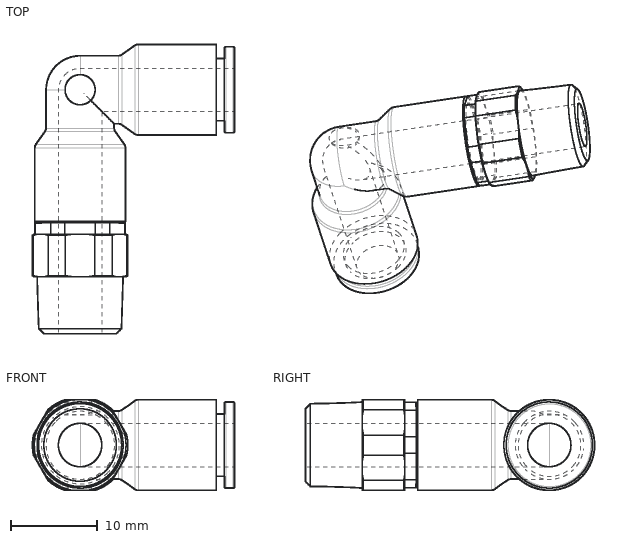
import cadquery as cq
import math


overall_length = 33.4

neck_radius = 3.95
body_radius = 5.25
shoulder_start = 4.65
shoulder_end = 6.48
shoulder_blend = 0.67
bore_radius = 2.5

tube_body_end = 15.73
collet_neck_radius = 3.6
collet_flange_start = 16.63
collet_flange_radius = 4.98
collet_rounding = 0.2
tube_arm_length = 17.85

threaded_body_end = 15.2
swivel_gap = 0.17
swivel_gap_radius = 4.48
small_hex_start = threaded_body_end + swivel_gap
large_hex_start = 16.65
large_hex_end = 21.58
threaded_arm_length = overall_length - body_radius

small_hex_apothem = 4.95
small_hex_corner_radius = 5.25
large_hex_apothem = body_radius
large_hex_corner_radius = 5.5
hex_chamfer_radial = 0.2
hex_chamfer_axial = 0.15

thread_base_radius = 4.98
thread_taper = 1 / 32
thread_chamfer = 0.6

badge_radius = 1.75
badge_floor = 3.5


def revolve_about_x(outline):
    """Solid of revolution from a closed (distance, radius) outline."""
    return cq.Workplane("XY").polyline(outline).close().revolve(360, (0, 0, 0), (1, 0, 0))


def cylinder_x(radius, start, end):
    return cq.Workplane("YZ").workplane(offset=start).circle(radius).extrude(end - start)


def swing_to_minus_y(shape):
    return shape.rotate((0, 0, 0), (0, 0, 1), -90)


def arm_body(body_end):
    """Narrow neck widening through a blended cone to the arm body, along +X."""
    outline = [
        (0, 0),
        (0, neck_radius),
        (shoulder_start, neck_radius),
        (shoulder_end, body_radius),
        (body_end, body_radius),
        (body_end, 0),
    ]
    body = revolve_about_x(outline)
    circles = body.edges("%CIRCLE").sort(lambda circle: circle.Center().x)
    return circles[1:3].fillet(shoulder_blend)


def hexagon_x(apothem, corner_radius, start, end):
    """Hexagon along +X with flats facing +Z and -Z and its corners rounded off."""
    corner_diameter = 2 * apothem / math.cos(math.pi / 6)
    prism = cq.Workplane("YZ").workplane(offset=start).polygon(6, corner_diameter).extrude(end - start)
    return prism.intersect(cylinder_x(corner_radius, start, end))


def large_hexagon():
    end_radius = large_hex_corner_radius - hex_chamfer_radial
    outline = [
        (large_hex_start, 0),
        (large_hex_start, end_radius),
        (large_hex_start + hex_chamfer_axial, large_hex_corner_radius),
        (large_hex_end - hex_chamfer_axial, large_hex_corner_radius),
        (large_hex_end, end_radius),
        (large_hex_end, 0),
    ]
    envelope = revolve_about_x(outline)
    prism = hexagon_x(large_hex_apothem, large_hex_corner_radius, large_hex_start, large_hex_end)
    return prism.intersect(envelope)


def thread_end():
    chamfer_start = threaded_arm_length - thread_chamfer
    tip_radius = thread_base_radius - thread_taper * (chamfer_start - large_hex_end)
    outline = [
        (large_hex_end, 0),
        (large_hex_end, thread_base_radius),
        (chamfer_start, tip_radius),
        (threaded_arm_length, tip_radius - thread_chamfer),
        (threaded_arm_length, 0),
    ]
    return revolve_about_x(outline)


def tube_arm():
    flange = cylinder_x(collet_flange_radius, collet_flange_start, tube_arm_length)
    flange = flange.edges("%CIRCLE").fillet(collet_rounding)
    collet_neck = cylinder_x(collet_neck_radius, tube_body_end, collet_flange_start)
    return arm_body(tube_body_end).union(collet_neck).union(flange)


def threaded_arm():
    """Built along +X, then swung round to -Y."""
    gap_core = cylinder_x(swivel_gap_radius, threaded_body_end, small_hex_start)
    small_hexagon = hexagon_x(small_hex_apothem, small_hex_corner_radius, small_hex_start, large_hex_start)
    arm = arm_body(threaded_body_end)
    for section in (gap_core, small_hexagon, large_hexagon(), thread_end()):
        arm = arm.union(section)
    return swing_to_minus_y(arm)


def bore():
    """Through passage that turns the corner with a spherical end."""
    tube_bore = cylinder_x(bore_radius, 0, tube_arm_length)
    thread_bore = swing_to_minus_y(cylinder_x(bore_radius, 0, threaded_arm_length))
    return cq.Workplane("XY").sphere(bore_radius).union(tube_bore).union(thread_bore)


def badge_recess():
    recess_height = body_radius - badge_floor
    return cq.Workplane("XY").workplane(offset=badge_floor).circle(badge_radius).extrude(recess_height)


elbow_corner = cq.Workplane("XY").sphere(neck_radius)
outer_shape = tube_arm().union(threaded_arm()).union(elbow_corner)
result = outer_shape.cut(bore()).cut(badge_recess())